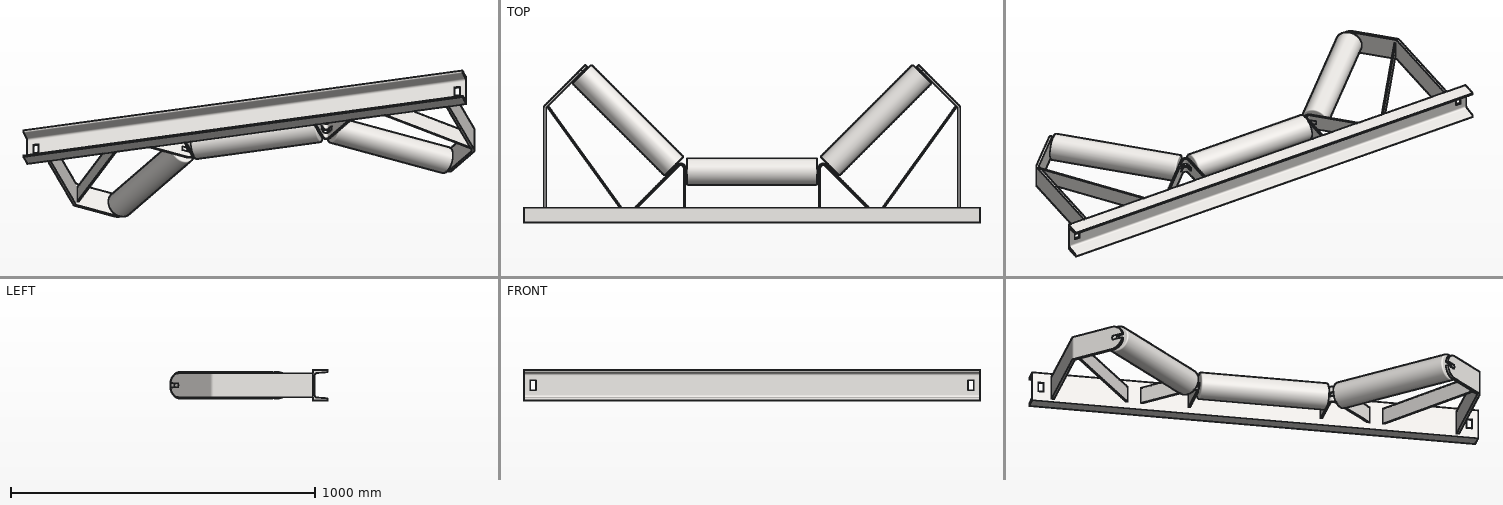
import cadquery as cq
import math


BEAM_LENGTH = 1500.0
BEAM_HEIGHT = 100.0
BEAM_DEPTH = 50.0
WEB_THICKNESS = 6.0
FLANGE_TIP_THICKNESS = 8.0
FLANGE_TAPER = 0.08
FLANGE_ROOT_RADIUS = 8.0
FLANGE_TIP_RADIUS = 5.0
SLOT_WIDTH = 18.0
SLOT_HEIGHT = 32.0
SLOT_END_DISTANCE = 30.0

ROLLER_DIAMETER = 88.0
ROLLER_LENGTH = 429.0
ROLLER_EDGE_RADIUS = 5.0
ROLLER_GAP = 5.0
CENTER_AXIS_Y = 118.0
TILT = 45.0
SHAFT_DIAMETER = 20.0
SHAFT_FLAT_WIDTH = 14.0

INNER_THICKNESS = 6.0
INNER_WIDTH = 54.0
INNER_BEND_RADIUS = 15.0
FOLD_TO_AXIS = 48.0

OUTER_THICKNESS = 9.0
OUTER_WIDTH = 80.0
OUTER_FACE_X = 685.0
OUTER_BEND_RADIUS = 14.0
OUTER_TIP_BEYOND_AXIS = 30.0

BRACE_THICKNESS = 5.0
BRACE_WIDTH = 54.0
BRACE_FOOT_X = 432.0
BRACE_HEAD_X = 672.0

COS_TILT = math.cos(math.radians(TILT))
SIN_TILT = math.sin(math.radians(TILT))
AXIS_DIRECTION = cq.Vector(COS_TILT, SIN_TILT)
LEG_DIRECTION = cq.Vector(-SIN_TILT, COS_TILT)

INNER_OVERHANG = ROLLER_GAP + INNER_THICKNESS
OUTER_OVERHANG = ROLLER_GAP + OUTER_THICKNESS

INNER_FACE_X = ROLLER_LENGTH / 2 + ROLLER_GAP
FOLD_CORNER = cq.Vector(INNER_FACE_X, CENTER_AXIS_Y + FOLD_TO_AXIS)
INNER_AXIS_POINT = FOLD_CORNER - LEG_DIRECTION * FOLD_TO_AXIS

SIDE_ROLLER_START = INNER_AXIS_POINT + AXIS_DIRECTION * ROLLER_GAP
SIDE_ROLLER_CENTER = SIDE_ROLLER_START + AXIS_DIRECTION * (ROLLER_LENGTH / 2)
OUTER_AXIS_POINT = SIDE_ROLLER_START + AXIS_DIRECTION * (ROLLER_LENGTH + OUTER_OVERHANG)
OUTER_TIP = OUTER_AXIS_POINT + LEG_DIRECTION * OUTER_TIP_BEYOND_AXIS
OUTER_BEND_Y = OUTER_AXIS_POINT.y - (OUTER_FACE_X - OUTER_AXIS_POINT.x) * COS_TILT / SIN_TILT
INNER_BEND = cq.Vector(
    OUTER_FACE_X - OUTER_THICKNESS,
    OUTER_BEND_Y - OUTER_THICKNESS * math.tan(math.radians(TILT / 2)),
)


def on_axis(shape, center, angle):
    """Move a shape built along X at the origin to a roller position."""
    return shape.rotate((0, 0, 0), (0, 0, 1), angle).translate(center)


def axial_cylinder(diameter, length):
    """Cylinder along X, centered on the origin."""
    start = cq.Workplane("YZ", origin=(-length / 2, 0, 0))
    return start.circle(diameter / 2).extrude(length)


def strip(points, width):
    """Prism of a closed outline in the XY plane, centered on Z = 0."""
    outline = cq.Workplane("XY", origin=(0, 0, -width / 2))
    return outline.polyline(points).close().extrude(width)


def edge_pair(y, z):
    """Selects the beam's two lengthwise edges at y, one at +z and one at -z."""
    upper = cq.selectors.NearestToPointSelector((0, y, z))
    lower = cq.selectors.NearestToPointSelector((0, y, -z))
    return upper + lower


def make_beam():
    half_height = BEAM_HEIGHT / 2
    tip_z = half_height - FLANGE_TIP_THICKNESS
    root_z = tip_z - FLANGE_TAPER * (BEAM_DEPTH - WEB_THICKNESS)
    beam = (
        cq.Workplane("YZ", origin=(-BEAM_LENGTH / 2, 0, 0))
        .moveTo(0, -half_height)
        .lineTo(0, half_height)
        .lineTo(-BEAM_DEPTH, half_height)
        .lineTo(-BEAM_DEPTH, tip_z)
        .lineTo(-WEB_THICKNESS, root_z)
        .lineTo(-WEB_THICKNESS, -root_z)
        .lineTo(-BEAM_DEPTH, -tip_z)
        .lineTo(-BEAM_DEPTH, -half_height)
        .close()
        .extrude(BEAM_LENGTH)
    )
    beam = beam.edges(edge_pair(-WEB_THICKNESS, root_z)).fillet(FLANGE_ROOT_RADIUS)
    beam = beam.edges(edge_pair(-BEAM_DEPTH, tip_z)).fillet(FLANGE_TIP_RADIUS)
    slot_x = BEAM_LENGTH / 2 - SLOT_END_DISTANCE
    slots = (
        cq.Workplane("XZ")
        .pushPoints([(-slot_x, 0), (slot_x, 0)])
        .rect(SLOT_WIDTH, SLOT_HEIGHT)
        .extrude(WEB_THICKNESS)
    )
    return beam.cut(slots)


def make_shaft(center, angle, start_overhang, end_overhang):
    """Round inside the roller, flattened on both Z sides where it sits in the brackets."""
    half = ROLLER_LENGTH / 2
    start = cq.Workplane("YZ", origin=(-half - start_overhang, 0, 0))
    shaft = start.circle(SHAFT_DIAMETER / 2).extrude(start_overhang + ROLLER_LENGTH + end_overhang)
    flat_depth = SHAFT_DIAMETER
    flat_z = (SHAFT_FLAT_WIDTH + flat_depth) / 2
    for end in (-1, 1):
        flat_x = end * (half + OUTER_OVERHANG)
        for side in (-1, 1):
            waste = cq.Workplane("XY").box(2 * OUTER_OVERHANG, SHAFT_DIAMETER, flat_depth)
            shaft = shaft.cut(waste.translate((flat_x, 0, side * flat_z)))
    return on_axis(shaft, center, angle)


def make_roller(center, angle):
    roller = axial_cylinder(ROLLER_DIAMETER, ROLLER_LENGTH)
    roller = roller.faces("<X or >X").edges().fillet(ROLLER_EDGE_RADIUS)
    bore = axial_cylinder(SHAFT_DIAMETER, ROLLER_LENGTH)
    return on_axis(roller.cut(bore), center, angle)


def shaft_slot(axis_point, angle, thickness):
    """Round-bottomed slot through a bracket leg, open towards the leg's upper end.

    axis_point lies on the leg face; the leg's thickness runs along the local +X.
    """
    depth = 2 * FOLD_TO_AXIS
    opening = cq.Workplane("XY").box(
        thickness, depth, SHAFT_FLAT_WIDTH, centered=(False, False, True)
    )
    seat = (
        cq.Workplane("YZ")
        .circle(SHAFT_DIAMETER / 2)
        .extrude(thickness)
        .intersect(cq.Workplane("XY").box(2 * thickness, SHAFT_DIAMETER, SHAFT_FLAT_WIDTH))
    )
    return on_axis(opening.union(seat), axis_point, angle)


def fold_solid(offset, bend_radius):
    """Filled wedge under the inner bracket's fold, with its faces set in by offset."""
    half_angle = math.radians(90 - TILT) / 2
    apex_x = FOLD_CORNER.x + offset
    apex_y = FOLD_CORNER.y - offset / math.tan(half_angle)
    slope_foot_x = apex_x + apex_y * SIN_TILT / COS_TILT
    wedge = strip([(apex_x, 0), (apex_x, apex_y), (slope_foot_x, 0)], INNER_WIDTH)
    return wedge.edges("|Z and >Y").fillet(bend_radius)


def make_inner_bracket():
    """Right-hand inner bracket."""
    outside = fold_solid(0, INNER_BEND_RADIUS)
    inside = fold_solid(INNER_THICKNESS, INNER_BEND_RADIUS - INNER_THICKNESS)
    upright_slot = shaft_slot((INNER_FACE_X, CENTER_AXIS_Y, 0), 0, INNER_THICKNESS)
    slope_slot_start = INNER_AXIS_POINT - AXIS_DIRECTION * INNER_THICKNESS
    slope_slot = shaft_slot(slope_slot_start, TILT, INNER_THICKNESS)
    fold_slot = (
        cq.Workplane("XY")
        .box(FOLD_TO_AXIS, FOLD_TO_AXIS, SHAFT_FLAT_WIDTH, centered=(False, False, True))
        .translate((INNER_FACE_X, INNER_AXIS_POINT.y, 0))
    )
    return outside.cut(inside).cut(upright_slot).cut(slope_slot).cut(fold_slot)


def outer_tip_trim():
    """Material removed from the outer bracket to round its upper end."""
    radius = OUTER_WIDTH / 2
    round_center = OUTER_TIP - LEG_DIRECTION * radius
    block = (
        cq.Workplane("XY")
        .box(2 * OUTER_THICKNESS, 2 * radius, 2 * OUTER_WIDTH, centered=(True, False, True))
    )
    trim = block.cut(axial_cylinder(OUTER_WIDTH, 2 * OUTER_THICKNESS))
    return on_axis(trim, round_center - AXIS_DIRECTION * (OUTER_THICKNESS / 2), TILT)


def make_outer_bracket():
    """Right-hand outer bracket."""
    inner_tip = OUTER_TIP - AXIS_DIRECTION * OUTER_THICKNESS
    outline = [
        (OUTER_FACE_X, 0),
        (OUTER_FACE_X, OUTER_BEND_Y),
        (OUTER_TIP.x, OUTER_TIP.y),
        (inner_tip.x, inner_tip.y),
        (INNER_BEND.x, INNER_BEND.y),
        (INNER_BEND.x, 0),
    ]
    bracket = strip(outline, OUTER_WIDTH)
    outer_bend = cq.selectors.NearestToPointSelector((OUTER_FACE_X, OUTER_BEND_Y, 0))
    inner_bend = cq.selectors.NearestToPointSelector(INNER_BEND.toTuple())
    bracket = bracket.edges("|Z").edges(outer_bend).fillet(OUTER_BEND_RADIUS)
    bracket = bracket.edges("|Z").edges(inner_bend).fillet(OUTER_BEND_RADIUS - OUTER_THICKNESS)
    slot_start = OUTER_AXIS_POINT - AXIS_DIRECTION * OUTER_THICKNESS
    slot = shaft_slot(slot_start, TILT, OUTER_THICKNESS)
    return bracket.cut(outer_tip_trim()).cut(slot)


def make_brace():
    """Right-hand brace, from the beam to the outer bracket just past its bend."""
    foot = cq.Vector(BRACE_FOOT_X, 0)
    rise_past_bend = (INNER_BEND.x - BRACE_HEAD_X) * COS_TILT / SIN_TILT
    meeting_point = cq.Vector(BRACE_HEAD_X, INNER_BEND.y + rise_past_bend)
    direction = (meeting_point - foot).normalized()
    head = meeting_point + direction * BRACE_THICKNESS
    half_foot = cq.Vector(BRACE_THICKNESS / 2 / direction.y, 0)
    half_head = cq.Vector(direction.y, -direction.x) * (BRACE_THICKNESS / 2)
    corners = [foot - half_foot, foot + half_foot, head + half_head, head - half_head]
    return strip([(corner.x, corner.y) for corner in corners], BRACE_WIDTH)


def make_frame():
    frame = make_beam()
    for piece in (make_inner_bracket(), make_outer_bracket(), make_brace()):
        frame = frame.union(piece).union(piece.mirror("YZ"))
    return frame


frame = make_frame()

left_center = (-SIDE_ROLLER_CENTER.x, SIDE_ROLLER_CENTER.y, 0)
positions = [
    (left_center, -TILT, OUTER_OVERHANG, INNER_OVERHANG),
    ((0, CENTER_AXIS_Y, 0), 0, INNER_OVERHANG, INNER_OVERHANG),
    (SIDE_ROLLER_CENTER.toTuple(), TILT, INNER_OVERHANG, OUTER_OVERHANG),
]
rollers = []
shafts = []
for center, angle, start_overhang, end_overhang in positions:
    rollers.append(make_roller(center, angle).val())
    shafts.append(make_shaft(center, angle, start_overhang, end_overhang).val())

result = cq.Compound.makeCompound([frame.val(), *rollers, *shafts])